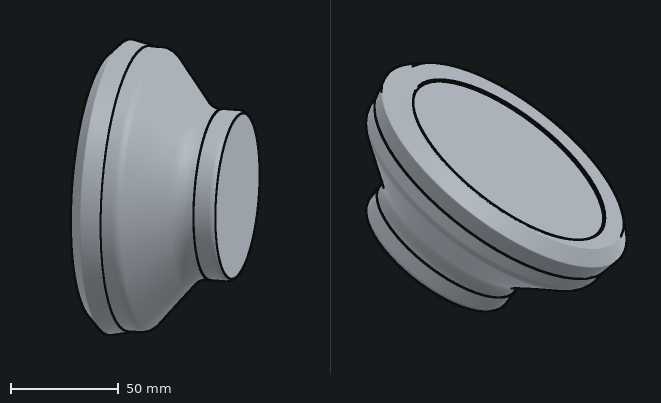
import cadquery as cq
import math

OVERALL_LENGTH = 63.0

RING_RADIUS = 69.0
RING_BORE_RADIUS = 53.7
RING_LENGTH = 15.5
RING_EDGE_ROUND = 0.7
CREST_X = 6.3
CREST_ALLOWANCE = 0.07
RIM_RADIUS = 62.8
RING_BACK_RADIUS = 67.2
DISH_DEPTH = 2.6
RIM_ALLOWANCE = 0.08

FACE_X = 3.3
BODY_RADIUS = 133.0 / 2
SHOULDER_ROUND = 5.0
FLARE_START_X = 23.9
NECK_RADIUS = 79.6 / 2
NECK_ROUND = 12.1
FLARE_END_X = 46.6
COLLAR_RADIUS = 80.0 / 2
COLLAR_START_X = 52.9
COLLAR_ROUND_LENGTH = 2.5
COLLAR_ROUND_DEPTH = 1.4


def revolve_about_x(profile):
    """Turn a closed (x, radius) profile once around the X axis."""
    return profile.revolve(360, (0, 0, 0), (1, 0, 0))


def make_bumper_ring():
    """Ring with a sloped rim, a dished front and rounded free edges."""
    rim_x = -RIM_ALLOWANCE
    profile = (
        cq.Workplane("XY")
        .moveTo(rim_x, RIM_RADIUS)
        .lineTo(CREST_X, RING_RADIUS + CREST_ALLOWANCE)
        .lineTo(RING_LENGTH, RING_BACK_RADIUS)
        .lineTo(RING_LENGTH, RING_BORE_RADIUS)
        .lineTo(rim_x + DISH_DEPTH, RING_BORE_RADIUS)
        .close()
    )
    ring = revolve_about_x(profile)
    smallest_radius = cq.selectors.RadiusNthSelector(0)
    back_bore_edge = ring.faces(">X").edges(smallest_radius).val()
    free_edges = [
        edge for edge in ring.edges("%CIRCLE").vals()
        if not edge.isSame(back_bore_edge)
    ]
    return ring.newObject(free_edges).fillet(RING_EDGE_ROUND)


def make_knob_body():
    """Front spigot filling the ring bore, then shoulder, flare, neck and collar."""
    flare_angle = math.atan2(BODY_RADIUS - NECK_RADIUS, FLARE_END_X - FLARE_START_X)
    shoulder_setback = SHOULDER_ROUND * math.tan(flare_angle / 2)
    neck_setback = NECK_ROUND * math.tan(flare_angle / 2)
    cos_flare = math.cos(flare_angle)
    sin_flare = math.sin(flare_angle)

    shoulder_start_x = FLARE_START_X - shoulder_setback
    shoulder_mid = (
        shoulder_start_x + SHOULDER_ROUND * math.sin(flare_angle / 2),
        BODY_RADIUS - SHOULDER_ROUND * (1 - math.cos(flare_angle / 2)),
    )
    shoulder_end = (
        FLARE_START_X + shoulder_setback * cos_flare,
        BODY_RADIUS - shoulder_setback * sin_flare,
    )
    neck_start = (
        FLARE_END_X - neck_setback * cos_flare,
        NECK_RADIUS + neck_setback * sin_flare,
    )
    neck_end_x = FLARE_END_X + neck_setback
    neck_mid = (
        neck_end_x - NECK_ROUND * math.sin(flare_angle / 2),
        NECK_RADIUS + NECK_ROUND * (1 - math.cos(flare_angle / 2)),
    )

    collar_round_x = OVERALL_LENGTH - COLLAR_ROUND_LENGTH

    profile = (
        cq.Workplane("XY")
        .moveTo(FACE_X, 0)
        .lineTo(FACE_X, RING_BORE_RADIUS)
        .lineTo(RING_LENGTH, RING_BORE_RADIUS)
        .lineTo(RING_LENGTH, BODY_RADIUS)
        .lineTo(shoulder_start_x, BODY_RADIUS)
        .threePointArc(shoulder_mid, shoulder_end)
        .lineTo(*neck_start)
        .threePointArc(neck_mid, (neck_end_x, NECK_RADIUS))
        .lineTo(COLLAR_START_X, NECK_RADIUS)
        .lineTo(COLLAR_START_X, COLLAR_RADIUS)
        .lineTo(collar_round_x, COLLAR_RADIUS)
        .tangentArcPoint((OVERALL_LENGTH, COLLAR_RADIUS - COLLAR_ROUND_DEPTH), relative=False)
        .lineTo(OVERALL_LENGTH, 0)
        .close()
    )
    return revolve_about_x(profile)


bumper_ring = make_bumper_ring()
knob_body = make_knob_body()

result = cq.Compound.makeCompound([bumper_ring.val(), knob_body.val()])